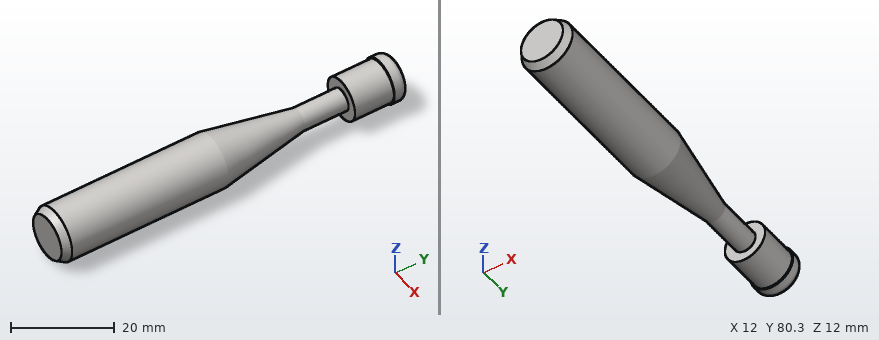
import cadquery as cq

total_length = 80.3

shank_diameter = 12.0
neck_diameter = 5.0
head_diameter = 9.5
rim_diameter = 10.0

shank_length = 38.1
taper_length = 20.0
neck_length = 10.0
rim_length = 3.2

chamfer_length = 1.8
chamfer_depth = 1.05
rim_fillet = 1.5

taper_start = shank_length
neck_start = taper_start + taper_length
head_start = neck_start + neck_length
rim_start = total_length - rim_length

shank_radius = shank_diameter / 2
neck_radius = neck_diameter / 2
head_radius = head_diameter / 2
rim_radius = rim_diameter / 2

half_profile = (
    cq.Workplane("XY")
    .moveTo(0, 0)
    .lineTo(shank_radius - chamfer_depth, 0)
    .lineTo(shank_radius, chamfer_length)
    .lineTo(shank_radius, taper_start)
    .lineTo(neck_radius, neck_start)
    .lineTo(neck_radius, head_start)
    .lineTo(head_radius, head_start)
    .lineTo(head_radius, rim_start)
    .lineTo(rim_radius, rim_start)
    .lineTo(rim_radius, total_length)
    .lineTo(0, total_length)
    .close()
)

pin = half_profile.revolve(360, (0, 0), (0, 1))

result = pin.faces(">Y").edges().fillet(rim_fillet)